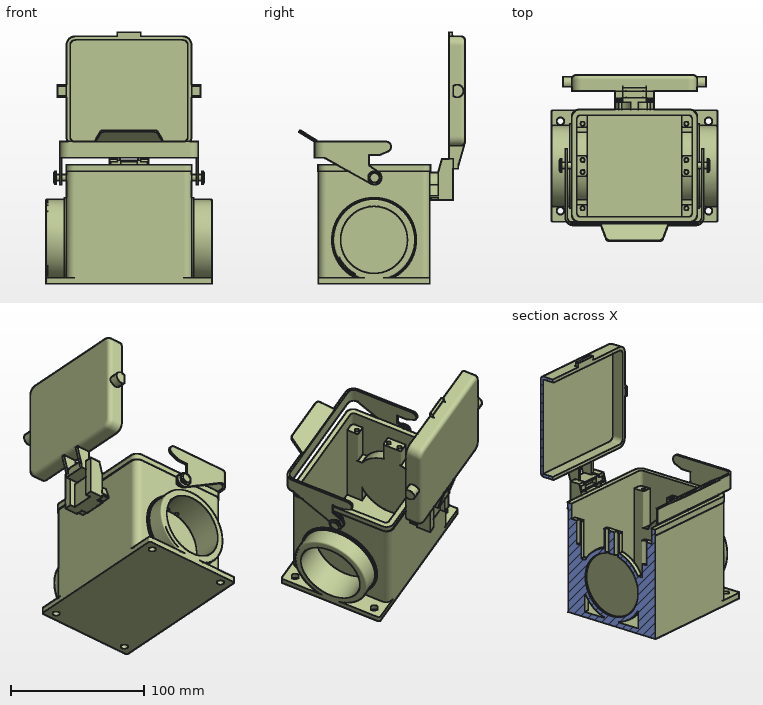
import cadquery as cq
import math


base_x = 125.0
base_y = 84.0
base_z = 4.7
base_corner_r = 1.5
base_hole_d = 5.5
base_hole_x = 55.5
base_hole_y = 33.6

body_x = 94.1
body_y = base_y
body_top = 89.5
body_corner_r = 5.9
rim_depth = 5.1
rim_step = 0.2
rim_back_step = 0.5
wall = 3.8
cavity_x = body_x - 2 * wall
cavity_y = body_y - 2 * wall
cavity_corner_r = 2.8

entry_z = 33.0
entry_r = 30.6
entry_edge_r = 1.3
collar_r = 31.8
collar_length = 1.7
bore_r = 25.1
bore_depth = 24.5
entry_boss_r = 29.1

post_depth = 7.7
post_top = 77.1
corner_post_y = 29.1
corner_step_y = 25.5
corner_step_z = 47.2
centre_post_width = 15.1
post_edge_r = 1.0
screw_d = 3.2
screw_depth = 18.9
screw_x = 39.0
screw_ys = (-31.8, -4.5, 4.5, 31.8)

sheet = 1.7
lever_x = 104.3
lever_front = -44.8
lever_corner_r = 6.8
lever_top = 107.0
lever_bottom = 94.7
nose_top = (8.7, lever_top)
nose_tip = (12.9, 102.8)
nose_under = (10.5, 99.5)
hook_mouth = (4.3, 96.8)
hook_y = -3.8
hook_bottom = 88.8
arm_heel_y = -37.5
eye_start_angle = 60.0
eye_end_angle = -120.0
pivot_y = 0.4
pivot_z = 79.8
pivot_eye_r = 5.3
pivot_pin_d = 5.0
pivot_head_d = 9.8
pivot_head_x = 54.6
pivot_head_length = 1.7
pivot_head_face_d = 7.2
pivot_head_bevel = 0.8
grip_lift = 0.8
grip_angle = 32.0
grip_tip_y = -56.5
grip_root_half = 25.5
grip_tip_half = 20.8
grip_corner_r = 2.8

lid_back = 68.5
lid_depth = 12.3
lid_front = lid_back - lid_depth
lid_x = 94.1
lid_bottom = 103.8
lid_top = 186.0
lid_corner_r = 6.8
lid_back_edge_r = 3.4
lid_wall = 2.8
lid_mid_z = (lid_bottom + lid_top) / 2
tab_width = 18.0
tab_depth = 2.6
tab_top = 189.0
tab_root_r = 1.0
stud_span = 107.4
stud_r = 4.7
stud_y = 62.4
stud_flat = 3.0

hinge_half = 14.7
cheek_inner = 8.9
hinge_front = 48.0
hinge_back = 59.3
hinge_bottom = 63.0
hinge_top = 94.0
cheek_shoulder_z = 83.7
cheek_top_front = 50.8
bridge_front = 51.5
bridge_back = 63.3
bridge_bottom = 86.4
bridge_top = 93.0
window_half = 6.2
window_bottom = 87.3
window_top = 91.9
window_depth = 3.8
notch_half = 13.6
foot_front = 42.9
bracket_bottom = 64.6
bracket_side_z = 66.3
bracket_shelf_z = 74.5
rib_half = 2.8
flare_half = 9.5
shelf_half = 11.7
arm_width = 2.3
arm_root_y = 67.7
arm_tip_y = 63.0
arm_tip_z = 86.4
arm_tip_bevel = 1.0


def span_box(x0, x1, y0, y1, z0, z1):
    """Axis-aligned block between two opposite corners."""
    return cq.Workplane("XY").box(x1 - x0, y1 - y0, z1 - z0, centered=False).translate((x0, y0, z0))


def x_cylinder(radius, x0, x1, y, z):
    """Cylinder along X from x0 to x1."""
    return cq.Workplane("YZ", origin=(x0, 0, 0)).center(y, z).circle(radius).extrude(x1 - x0)


def mirrored(half):
    """A feature on the +X side together with its twin on the -X side."""
    return half.union(half.mirror("YZ"))


def make_base():
    plate = cq.Workplane("XY").rect(base_x, base_y).extrude(base_z).edges("|Z").fillet(base_corner_r)
    holes = (
        cq.Workplane("XY").rect(2 * base_hole_x, 2 * base_hole_y, forConstruction=True).vertices()
        .circle(base_hole_d / 2).extrude(base_z)
    )
    return plate.cut(holes)


def make_box():
    """Solid housing block whose rim stands slightly proud, most at the back."""
    box = cq.Workplane("XY").rect(body_x, body_y).extrude(body_top).edges("|Z").fillet(body_corner_r)
    rim = (
        cq.Workplane("XY", origin=(0, (rim_back_step - rim_step) / 2, body_top - rim_depth))
        .rect(body_x + 2 * rim_step, body_y + rim_step + rim_back_step).extrude(rim_depth)
        .edges("|Z").fillet(body_corner_r)
    )
    return box.union(rim)


def make_cavity():
    return (
        cq.Workplane("XY", origin=(0, 0, base_z)).rect(cavity_x, cavity_y).extrude(body_top)
        .edges("|Z").fillet(cavity_corner_r)
    )


def make_posts():
    """Posts on the +X wall, the entry boss between them and the screw holes in their tops."""
    inner = cavity_x / 2 - post_depth
    outer = body_x / 2 - wall / 2
    back = (body_y - wall) / 2
    boss = x_cylinder(entry_boss_r, inner, outer, 0, entry_z)
    boss = boss.intersect(span_box(inner, outer, -back, back, base_z / 2, body_top))
    half_width = centre_post_width / 2
    posts = span_box(inner, outer, -half_width, half_width, entry_z, post_top)
    posts = posts.edges("|Z and <X").fillet(post_edge_r)
    for side in (-1, 1):
        near, far = sorted((side * corner_post_y, side * back))
        step_near, step_far = sorted((side * corner_step_y, side * back))
        corner_post = span_box(inner, outer, near, far, base_z / 2, post_top)
        posts = posts.union(corner_post.edges("|Z and <X").fillet(post_edge_r))
        posts = posts.union(span_box(inner, outer, step_near, step_far, base_z / 2, corner_step_z))
    posts = posts.union(boss)
    screws = (
        cq.Workplane("XY", origin=(0, 0, post_top)).pushPoints([(screw_x, y) for y in screw_ys])
        .circle(screw_d / 2).extrude(-screw_depth)
    )
    return posts.cut(screws)


def make_entry():
    """Cable-entry tube with a collar against the +X wall."""
    wall_x = body_x / 2
    tube = x_cylinder(entry_r, wall_x - wall / 2, base_x / 2, 0, entry_z)
    tube = tube.faces(">X").edges().fillet(entry_edge_r)
    collar = x_cylinder(collar_r, wall_x - wall / 2, wall_x + collar_length, 0, entry_z)
    return tube.union(collar)


def make_bore():
    return x_cylinder(bore_r, base_x / 2 - bore_depth, base_x / 2, 0, entry_z)


def on_pivot_eye(angle):
    """Point (Y, Z) on the rounded lever end about the pivot, angle in degrees from +Y."""
    turn = math.radians(angle)
    return (pivot_y + pivot_eye_r * math.cos(turn), pivot_z + pivot_eye_r * math.sin(turn))


def make_lever():
    """Bent sheet lever: U-shaped band trimmed to the arm profile."""
    lever_back = nose_tip[0]
    length = lever_back - lever_front
    height = lever_top - (pivot_z - pivot_eye_r)
    blank = span_box(-lever_x / 2, lever_x / 2, lever_front, lever_back, lever_top - height, lever_top)
    blank = blank.edges("|Z and <Y").fillet(lever_corner_r)
    inside_half = lever_x / 2 - sheet
    inside = span_box(-inside_half, inside_half, lever_front + sheet, lever_front + sheet + length,
                      lever_top - height, lever_top)
    band = blank.cut(inside.edges("|Z and <Y").fillet(lever_corner_r - sheet))
    profile = (
        cq.Workplane("YZ", origin=(-lever_x / 2, 0, 0))
        .moveTo(lever_front, lever_top)
        .lineTo(*nose_top)
        .threePointArc(nose_tip, nose_under)
        .lineTo(*hook_mouth)
        .lineTo(hook_y, hook_mouth[1])
        .lineTo(hook_y, hook_bottom)
        .lineTo(*on_pivot_eye(eye_start_angle))
        .threePointArc(on_pivot_eye((eye_start_angle + eye_end_angle) / 2), on_pivot_eye(eye_end_angle))
        .lineTo(arm_heel_y, lever_bottom)
        .lineTo(lever_front, lever_bottom)
        .close().extrude(lever_x)
    )
    return band.intersect(profile)


def make_grip():
    """Thumb grip rising outwards from the top edge of the lever band."""
    tilt = math.radians(grip_angle)
    root_y = lever_front + sheet
    length = (root_y - grip_tip_y - sheet * math.sin(tilt)) / math.cos(tilt)
    plane = cq.Plane(origin=(0, root_y, lever_top + grip_lift), xDir=(1, 0, 0),
                     normal=(0, -math.sin(tilt), -math.cos(tilt)))
    outline = [(-grip_root_half, 0), (grip_root_half, 0), (grip_tip_half, length), (-grip_tip_half, length)]
    grip = cq.Workplane(plane).polyline(outline).close().extrude(sheet)
    corners = cq.selectors.BoxSelector((-base_x, grip_tip_y - sheet, lever_top + sheet),
                                       (base_x, grip_tip_y + 2 * sheet, lever_top + length))
    return grip.edges(cq.selectors.ParallelDirSelector(plane.zDir)).edges(corners).fillet(grip_corner_r)


def make_pivot():
    shaft = x_cylinder(pivot_pin_d / 2, body_x / 2 - wall / 2, pivot_head_x, pivot_y, pivot_z)
    head = x_cylinder(pivot_head_d / 2, pivot_head_x, pivot_head_x + pivot_head_length, pivot_y, pivot_z)
    face_inset = (pivot_head_d - pivot_head_face_d) / 2
    rim_edge = head.faces(">X").edges()
    return shaft.union(rim_edge.chamfer(pivot_head_bevel, face_inset))


def make_lid():
    shell = span_box(-lid_x / 2, lid_x / 2, lid_front, lid_back, lid_bottom, lid_top)
    shell = shell.edges("|Y").fillet(lid_corner_r).faces(">Y").edges().fillet(lid_back_edge_r)
    hollow_half = lid_x / 2 - lid_wall
    hollow = span_box(-hollow_half, hollow_half, lid_front, lid_back - lid_wall,
                      lid_bottom + lid_wall, lid_top - lid_wall)
    shell = shell.cut(hollow.edges("|Y").fillet(lid_corner_r - lid_wall))
    tab = (
        cq.Workplane("YZ", origin=(-tab_width / 2, 0, 0))
        .moveTo(lid_front, tab_top)
        .lineTo(lid_front + tab_depth, tab_top)
        .lineTo(lid_front + tab_depth, lid_top + tab_root_r)
        .radiusArc((lid_front + tab_depth + tab_root_r, lid_top), -tab_root_r)
        .lineTo(lid_front + tab_depth, lid_top - lid_wall)
        .lineTo(lid_front, lid_top - lid_wall)
        .close().extrude(tab_width)
    )
    return shell.union(tab)


def make_stud():
    """Locking stud on the +X side of the lid, flattened towards the lid opening."""
    root_x = lid_x / 2 - lid_wall
    stud = x_cylinder(stud_r, root_x, stud_span / 2, stud_y, lid_mid_z)
    flat = span_box(root_x, stud_span / 2, lid_front, stud_y - stud_flat,
                    lid_mid_z - stud_r, lid_mid_z + stud_r)
    return stud.cut(flat)


def make_hinge_cheek():
    """Outer +X half of the hinge block, notched in its sloping front."""
    outline = [
        (hinge_back, hinge_bottom), (hinge_back, hinge_top), (cheek_top_front, hinge_top),
        (hinge_front, cheek_shoulder_z), (hinge_front, hinge_bottom),
    ]
    cheek = (
        cq.Workplane("YZ", origin=(cheek_inner, 0, 0)).polyline(outline).close()
        .extrude(hinge_half - cheek_inner)
    )
    notch = span_box(cheek_inner, notch_half, hinge_front, bridge_front, window_bottom, window_top)
    return cheek.cut(notch)


def make_hinge_bridge():
    """Windowed bar between the cheeks, with a low plate beneath it."""
    bar = span_box(-cheek_inner, cheek_inner, bridge_front, bridge_back, bridge_bottom, bridge_top)
    window = span_box(-window_half, window_half, bridge_front, bridge_front + window_depth,
                      window_bottom, window_top)
    plate = span_box(-cheek_inner, cheek_inner, hinge_front, bridge_front + window_depth,
                     hinge_bottom, cheek_shoulder_z)
    return bar.cut(window).union(plate)


def make_hinge_bracket():
    """Bracket tying the hinge to the housing: a centre rib flaring out into a shelf, on a foot."""
    start_y = body_y / 2 - wall / 2
    flare_r = math.hypot(flare_half - rib_half, cheek_shoulder_z - bracket_shelf_z)
    foot = span_box(-cheek_inner, cheek_inner, foot_front, hinge_front, hinge_bottom, bracket_bottom)
    bracket = (
        cq.Workplane("XZ", origin=(0, hinge_front, 0))
        .moveTo(-hinge_half, bracket_bottom)
        .lineTo(hinge_half, bracket_bottom)
        .lineTo(hinge_half, bracket_side_z)
        .lineTo(shelf_half, bracket_shelf_z)
        .lineTo(flare_half, bracket_shelf_z)
        .radiusArc((rib_half, cheek_shoulder_z), flare_r)
        .lineTo(-rib_half, cheek_shoulder_z)
        .radiusArc((-flare_half, bracket_shelf_z), flare_r)
        .lineTo(-shelf_half, bracket_shelf_z)
        .lineTo(-hinge_half, bracket_side_z)
        .close().extrude(hinge_front - start_y)
    )
    return bracket.union(foot)


def make_hinge_arm():
    """Arm below the lid that dips into the hinge beside its +X cheek."""
    root_z = lid_bottom + lid_wall
    root_y = lid_back - lid_back_edge_r
    outline = [
        (lid_front, root_z), (root_y, root_z), (arm_root_y, lid_bottom),
        (arm_tip_y, arm_tip_z + arm_tip_bevel), (arm_tip_y - arm_tip_bevel, arm_tip_z),
        (lid_front, arm_tip_z),
    ]
    return (
        cq.Workplane("YZ", origin=(cheek_inner - arm_width, 0, 0)).polyline(outline).close()
        .extrude(arm_width)
    )


housing = make_base().union(make_box()).union(mirrored(make_entry()))
housing = housing.cut(make_cavity()).union(mirrored(make_posts())).cut(mirrored(make_bore()))
lever = make_lever().union(make_grip()).union(mirrored(make_pivot()))
hinge = mirrored(make_hinge_cheek()).union(make_hinge_bridge()).union(make_hinge_bracket())
lid = make_lid().union(mirrored(make_stud())).union(mirrored(make_hinge_arm()))

result = housing.union(lever).union(hinge).union(lid)